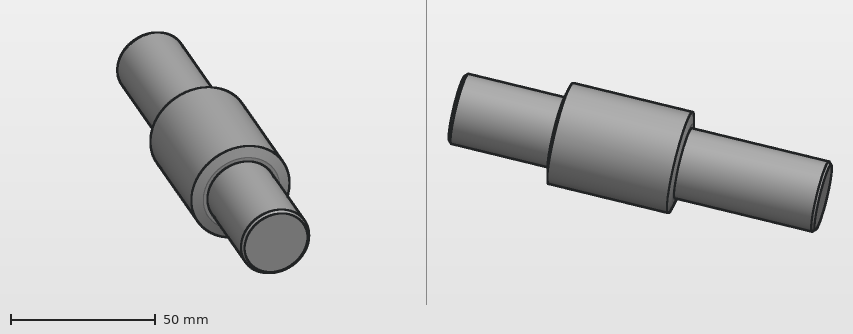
import cadquery as cq
import math

total_length = 131.0
shaft_diameter = 25.0
collar_diameter = 36.0
collar_length = 44.9
left_journal_length = 50.0
collar_face_diameter = 28.0
collar_bevel_angle = 15.0
end_chamfer = 1.0

collar_bevel_depth = (collar_diameter - collar_face_diameter) / 2
collar_bevel_width = collar_bevel_depth * math.tan(math.radians(collar_bevel_angle))


def cylinder_on_axis(start, length, diameter):
    """Round bar along X, beginning at the given X position."""
    return cq.Workplane("YZ").workplane(offset=start).circle(diameter / 2).extrude(length)


shaft_start = -total_length / 2
shaft = cylinder_on_axis(shaft_start, total_length, shaft_diameter)
shaft = shaft.faces("<X or >X").chamfer(end_chamfer)


def make_collar():
    """Larger diameter with a shallow bevel towards each flat face."""
    start = shaft_start + left_journal_length
    end = start + collar_length
    outer_radius = collar_diameter / 2
    face_radius = collar_face_diameter / 2
    half_profile = [
        (start, 0),
        (start, face_radius),
        (start + collar_bevel_width, outer_radius),
        (end - collar_bevel_width, outer_radius),
        (end, face_radius),
        (end, 0),
    ]
    return cq.Workplane("XY").polyline(half_profile).close().revolve(360, (0, 0, 0), (1, 0, 0))


result = shaft.union(make_collar())